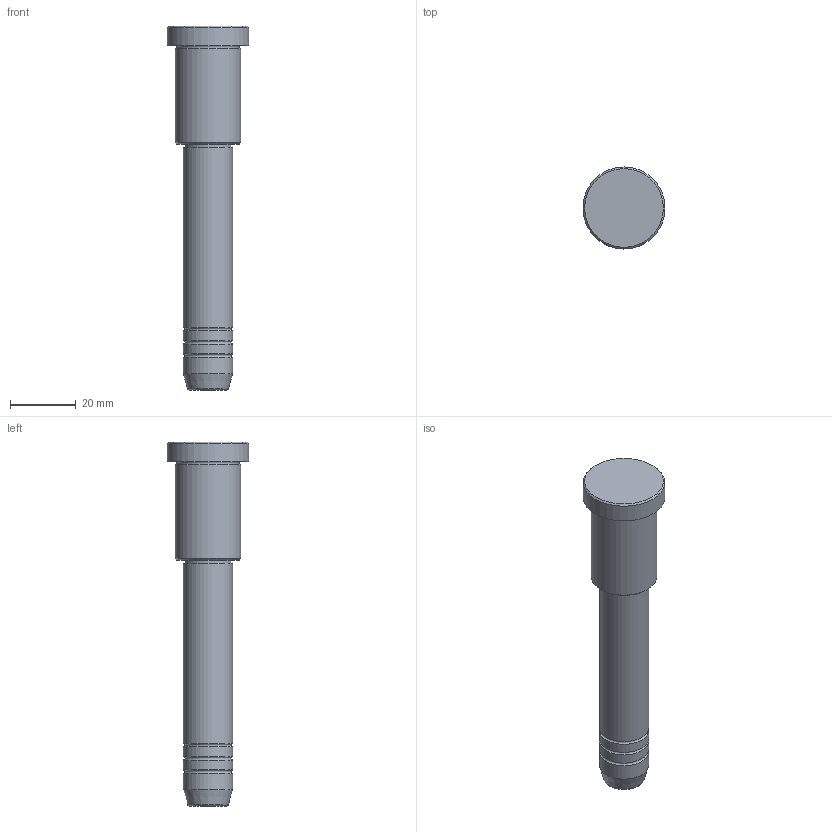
import cadquery as cq
import math

total_length = 111.0
head_height = 6.0
sleeve_length = 30.0
taper_length = 5.0

head_radius = 12.5
sleeve_radius = 10.0
shank_radius = 7.5
taper_angle = 15.0

head_chamfer = 0.5
sleeve_chamfer = 0.5
tip_fillet = 0.5

groove_width = 1.0
neck_relief_depth = 0.5
ring_groove_count = 3
ring_groove_pitch = 4.0
first_ring_groove_base = 10.0

head_base = total_length - head_height
sleeve_base = head_base - sleeve_length
tip_radius = shank_radius - taper_length * math.tan(math.radians(taper_angle))


def cylinder(radius, base, top):
    """Cylinder on the Z axis between two levels."""
    return cq.Workplane("XY").workplane(offset=base).circle(radius).extrude(top - base)


def square_groove(surface_radius, depth, base):
    """Ring that cuts a square groove into a cylinder, upward from the base level."""
    floor_radius = surface_radius - depth
    return cylinder(surface_radius, base, base + groove_width).cut(
        cylinder(floor_radius, base, base + groove_width)
    )


def round_groove(surface_radius, base):
    """Ring that cuts a half-round groove into a cylinder, upward from the base level."""
    section_radius = groove_width / 2
    middle = base + section_radius
    return (
        cq.Workplane("XZ")
        .moveTo(surface_radius, base)
        .radiusArc((surface_radius - section_radius, middle), section_radius)
        .radiusArc((surface_radius, base + groove_width), section_radius)
        .close()
        .revolve(360, (0, 0, 0), (0, 1, 0))
    )


def make_head():
    return cylinder(head_radius, head_base, total_length).faces(">Z").edges().chamfer(head_chamfer)


def make_sleeve():
    """Sleeve with a chamfered lower edge and a half-round relief just under the head."""
    relief = round_groove(sleeve_radius, head_base - groove_width)
    sleeve = cylinder(sleeve_radius, sleeve_base, head_base)
    return sleeve.faces("<Z").edges().chamfer(sleeve_chamfer).cut(relief)


def make_shank():
    """Shank with a square neck relief under the sleeve and evenly spaced half-round grooves."""
    shank = cylinder(shank_radius, taper_length, sleeve_base)
    shank = shank.cut(square_groove(shank_radius, neck_relief_depth, sleeve_base - groove_width))
    for index in range(ring_groove_count):
        base = first_ring_groove_base + index * ring_groove_pitch
        shank = shank.cut(round_groove(shank_radius, base))
    return shank


def make_taper():
    """Conical lead-in that narrows to the rounded tip."""
    cone = cq.Workplane(cq.Solid.makeCone(tip_radius, shank_radius, taper_length))
    return cone.faces("<Z").edges().fillet(tip_fillet)


pin = make_head().union(make_sleeve()).union(make_shank()).union(make_taper())
result = pin.solids()